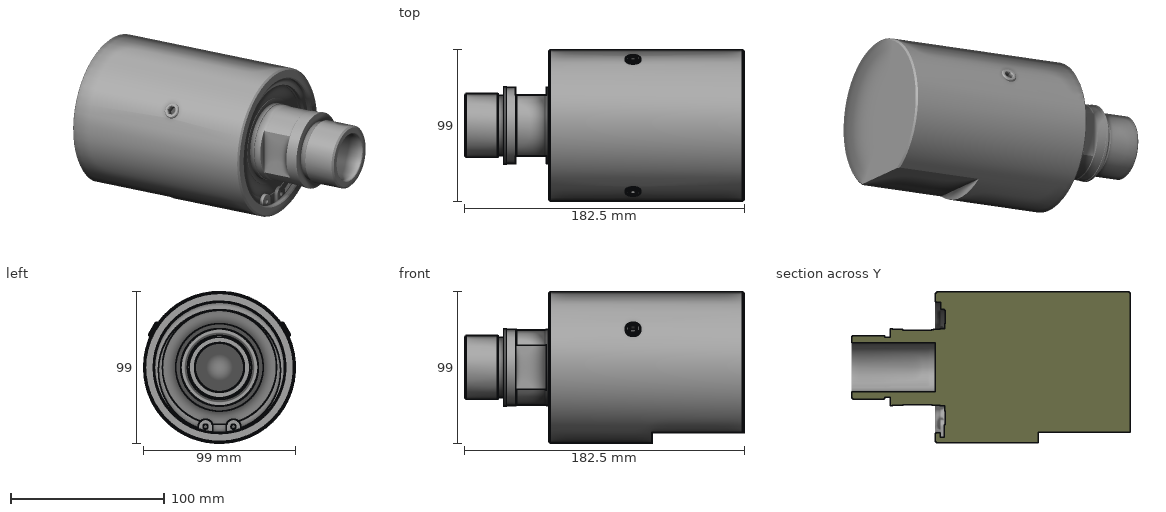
import math

import cadquery as cq

TOTAL_LENGTH = 182.45

THREAD_DIAMETER = 41.91
THREAD_END = 21.9
THREAD_CHAMFER = 1.1
THREAD_END_CHAMFER = 0.6
NECK_DIAMETER = 39.5
BORE_DIAMETER = 31.8
BORE_LIP_CHAMFER = 0.4

FLANGE_START = 25.3
FLANGE_LIP_END = 27.0
FLANGE_END = 33.8
FLANGE_LIP_DIAMETER = 50.8
FLANGE_DIAMETER = 50.0
FLANGE_CHAMFER = 0.4

SHANK_DIAMETER = 49.2
FLAT_WIDTH_ACROSS = 40.0
FLAT_START = 33.2
FLAT_END = 53.3
COLLAR_START = 52.3
COLLAR_DIAMETER = 50.0
COLLAR_TAPER_END = 53.8
COLLAR_STEP_START = 57.8
COLLAR_STEP_DIAMETER = 50.8

BODY_START = 54.8
BODY_DIAMETER = 99.0
BODY_CHAMFER = 1.1
RELIEF_START = 122.4
RELIEF_DISTANCE = 42.6

RECESS_DIAMETER = 85.1
RECESS_CHAMFER = 0.7
RING_SEAT_DEPTH = 5.7
INNER_RECESS_DIAMETER = 74.6
INNER_RECESS_DEPTH = 6.3
HUB_RING_DIAMETER = 57.2
HUB_RING_HEIGHT = 0.3

RING_OUTER_DIAMETER = 91.2
RING_THICKNESS = 2.3
RING_INNER_RADIUS = 39.95
RING_INNER_OFFSET = -2.15
LUG_RADIUS = 4.8
LUG_HOLE_DIAMETER = 3.17
LUG_SPACING = 18.2
LUG_HEIGHT = -38.7

PLUG_X = 109.9
PLUG_ELEVATION = 30.0
PLUG_DIAMETER = 10.2
PLUG_TOP_DIAMETER = 8.92
PLUG_TOP_RADIUS = 50.8
PLUG_EMBEDDED_RADIUS = 45.0
SOCKET_DIAMETER = 6.3
SOCKET_ACROSS_FLATS = 5.0
SOCKET_DEPTH = 5.0


def cylinder(diameter, start, end):
    """Solid cylinder on the X axis between two stations."""
    return cq.Workplane("YZ").workplane(offset=start).circle(diameter / 2).extrude(end - start)


def make_stem():
    thread = cylinder(THREAD_DIAMETER, 0, THREAD_END)
    thread = thread.faces("<X").chamfer(THREAD_CHAMFER)
    thread = thread.faces(">X").chamfer(THREAD_END_CHAMFER)
    neck = cylinder(NECK_DIAMETER, THREAD_END, FLANGE_START)
    lip = cylinder(FLANGE_LIP_DIAMETER, FLANGE_START, FLANGE_LIP_END)
    flange = cylinder(FLANGE_DIAMETER, FLANGE_LIP_END, FLANGE_END).faces(">X").chamfer(FLANGE_CHAMFER)
    shank = cylinder(SHANK_DIAMETER, FLANGE_END, COLLAR_START)
    floor = BODY_START + INNER_RECESS_DEPTH
    collar_taper = cq.Workplane("YZ").workplane(offset=COLLAR_START).circle(SHANK_DIAMETER / 2)
    collar_taper = collar_taper.workplane(offset=COLLAR_TAPER_END - COLLAR_START)
    collar_taper = collar_taper.circle(COLLAR_DIAMETER / 2).loft()
    collar = cylinder(COLLAR_DIAMETER, COLLAR_TAPER_END, floor).union(collar_taper)
    collar_step = cylinder(COLLAR_STEP_DIAMETER, COLLAR_STEP_START, floor)
    stem = thread.union(neck).union(lip).union(flange).union(shank).union(collar).union(collar_step)
    return stem.cut(make_wrench_flats())


def make_wrench_flats():
    """Material removed outside the two wrench flats, biting slightly into flange and collar."""
    length = FLAT_END - FLAT_START
    blank = cylinder(BODY_DIAMETER, FLAT_START, FLAT_END)
    middle = cq.Workplane("XY", origin=(FLAT_START, 0, 0)).box(
        length, FLAT_WIDTH_ACROSS, BODY_DIAMETER, centered=(False, True, True)
    )
    return blank.cut(middle)


def make_body():
    body = cylinder(BODY_DIAMETER, BODY_START, TOTAL_LENGTH).edges().chamfer(BODY_CHAMFER)
    recess = cylinder(RECESS_DIAMETER, BODY_START, BODY_START + RING_SEAT_DEPTH)
    inner_recess = cylinder(INNER_RECESS_DIAMETER, BODY_START, BODY_START + INNER_RECESS_DEPTH)
    body = body.cut(recess)
    mouth = body.faces("<X").edges("%CIRCLE").edges(cq.selectors.RadiusNthSelector(0))
    body = mouth.chamfer(RECESS_CHAMFER).cut(inner_recess)
    floor = BODY_START + INNER_RECESS_DEPTH
    body = body.union(cylinder(HUB_RING_DIAMETER, floor - HUB_RING_HEIGHT, floor))
    groove_end = BODY_START + RING_SEAT_DEPTH
    groove = cylinder(RING_OUTER_DIAMETER, groove_end - RING_THICKNESS, groove_end)
    groove = groove.cut(cylinder(RECESS_DIAMETER, groove_end - RING_THICKNESS, groove_end))
    return body.cut(groove).cut(make_relief())


def make_relief():
    """Block removed below the flat on the underside of the rear of the body."""
    height = BODY_DIAMETER / 2 - RELIEF_DISTANCE
    return (
        cq.Workplane("XY", origin=(RELIEF_START, 0, -RELIEF_DISTANCE - height))
        .box(TOTAL_LENGTH - RELIEF_START, BODY_DIAMETER, height, centered=(False, True, False))
    )


def make_retaining_ring():
    back = BODY_START + RING_SEAT_DEPTH
    front = back - RING_THICKNESS
    plane = cq.Workplane("YZ").workplane(offset=front)
    lug_centers = [(side * LUG_SPACING / 2, LUG_HEIGHT) for side in (-1, 1)]
    disc = cylinder(RING_OUTER_DIAMETER, front, back)
    opening = plane.center(0, RING_INNER_OFFSET).circle(RING_INNER_RADIUS).extrude(RING_THICKNESS)
    gap = plane.center(0, LUG_HEIGHT).rect(LUG_SPACING, 4 * LUG_RADIUS).extrude(RING_THICKNESS)
    heads = plane.pushPoints(lug_centers).circle(LUG_RADIUS).extrude(RING_THICKNESS)
    feet = plane.center(0, -LUG_RADIUS).pushPoints(lug_centers)
    feet = feet.rect(2 * LUG_RADIUS, 2 * LUG_RADIUS).extrude(RING_THICKNESS)
    lugs = heads.union(feet).intersect(disc)
    holes = plane.pushPoints(lug_centers).circle(LUG_HOLE_DIAMETER / 2).extrude(RING_THICKNESS)
    return disc.cut(opening).cut(gap).union(lugs).cut(holes)


def plug_plane(side, radius):
    """Plane facing outward along the axis of the plug on one flank."""
    angle = math.radians(PLUG_ELEVATION)
    outward = cq.Vector(0, side * math.cos(angle), math.sin(angle))
    origin = cq.Vector(PLUG_X, 0, 0) + outward * radius
    return cq.Workplane(cq.Plane(origin=origin, xDir=(1, 0, 0), normal=outward))


def add_plug(part, side):
    height = PLUG_TOP_RADIUS - PLUG_EMBEDDED_RADIUS
    plug = plug_plane(side, PLUG_EMBEDDED_RADIUS).circle(PLUG_DIAMETER / 2).extrude(height)
    plug = plug.faces(cq.selectors.DirectionNthSelector(plug_plane(side, 0).plane.zDir, -1))
    plug = plug.chamfer((PLUG_DIAMETER - PLUG_TOP_DIAMETER) / 2)
    corner_diameter = SOCKET_ACROSS_FLATS / math.cos(math.pi / 6)
    top = plug_plane(side, PLUG_TOP_RADIUS)
    socket = top.polygon(6, corner_diameter).extrude(-SOCKET_DEPTH)
    lead_in_depth = (SOCKET_DIAMETER - SOCKET_ACROSS_FLATS) / 2
    lead_in = top.circle(SOCKET_DIAMETER / 2).workplane(offset=-lead_in_depth)
    lead_in = lead_in.circle(SOCKET_ACROSS_FLATS / 2).loft()
    return part.union(plug).cut(socket).cut(lead_in)


def cut_bore(part):
    bore = cylinder(BORE_DIAMETER, 0, BODY_START)
    mouth = cq.Workplane("YZ").circle(BORE_DIAMETER / 2 + BORE_LIP_CHAMFER)
    mouth = mouth.workplane(offset=BORE_LIP_CHAMFER).circle(BORE_DIAMETER / 2).loft()
    return part.cut(bore).cut(mouth)


result = make_body().union(make_stem()).union(make_retaining_ring())
for flank in (-1, 1):
    result = add_plug(result, flank)
result = cut_bore(result)